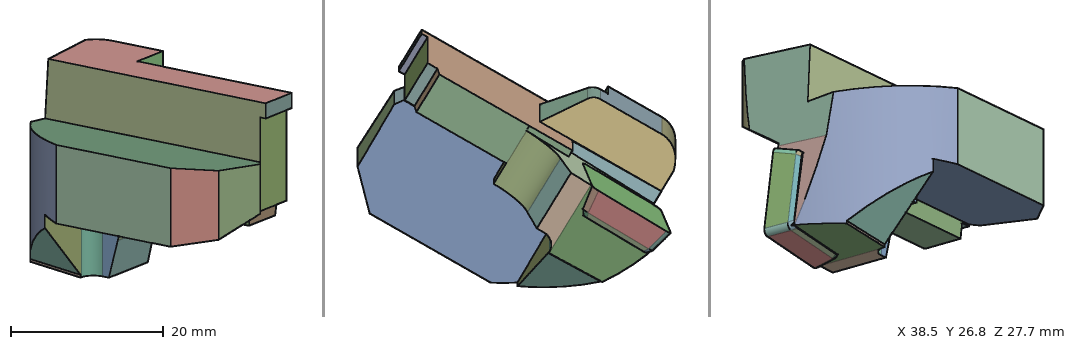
import cadquery as cq
import math

LENGTH = 38.47
HEIGHT = 27.7
DEPTH = 26.8

WALL_FRONT = 15.08
WALL_BACK = 21.0
WALL_BOTTOM = 10.5
END_RELIEF = 0.9
RIM_HEIGHT = 2.08
UNDERCUT_START = 35.78
UNDERCUT_END = 36.1
UNDERCUT_RISE = 2.3

BLOCK_END = 13.58
SHOULDER_HEIGHT = 24.1
SHOULDER_CORNER = 15.7
SHOULDER_END = 20.5
SHOULDER_RADIUS = 2.0
BLOCK_RADIUS = 3.7
BLOCK_BACK_BOTTOM = 19.15
BLOCK_FOOT = 14.4
BLOCK_FOOT_Y = 19.25
BLOCK_SIDE = 1.75

FLANGE_TOP_FRONT = 21.7
FLANGE_TOP_BACK = 19.5
FLANGE_BOTTOM_FRONT = 10.95
FLANGE_BOTTOM_BACK = 13.08
CORNER_CHAMFER = 4.5
RELIEF_WIDTH = 0.85
RELIEF_DEPTH = 1.15
ARC_END_X = 15.55
ARC_MIDDLE = (6.4, 7.1)
ARC_START = (0.58, 17.7)

NOSE_END = 12.5
NOSE_BOTTOM = 0.7
FOOT_END = 15.55
COLUMN_FRONT = 11.85
COLUMN_RADIUS = 2.0
CHIN_TOP = (1.58, 9.55)
CHIN_BOTTOM = (9.75, 1.08)
FLARE_X = 17.0
FLARE_Z = 6.08
FLARE_END = 22.12
FLARE_MIDDLE = (18.77, 9.15)
BOTTOM_TILT = 5.4
RAKE_TOP_Y = 19.25
RAKE_BOTTOM_Y = 20.12
RAKE_TWIST = 2.0
RAKE_OVERRUN = 3.85

SIDE_X = 3.45
SIDE_SLOPE_Y = 0.117
SIDE_SLOPE_Z = 0.062
SIDE_KNEE = 14.05
SIDE_LOWER_SLOPE = 0.11
SIDE_MARGIN = 15.4

INSERT_WIDTH = 12.3
INSERT_HEIGHT = 12.65
INSERT_DEPTH = 4.05
INSERT_WAIST = 3.3
INSERT_RADIUS = 0.85
INSERT_TAPER = 10.0
INSERT_CHAMFER = 0.35
INSERT_TURN = BOTTOM_TILT
INSERT_X = -0.08
INSERT_Z = 1.08


def box(x, y, z):
    """Box given by its (low, high) range on each axis."""
    return cq.Workplane("XY").box(
        x[1] - x[0], y[1] - y[0], z[1] - z[0], centered=False
    ).translate((x[0], y[0], z[0]))


def along_x(points, x_start, x_end):
    """Prism along X from a list of (Y, Z) points."""
    return cq.Workplane("YZ", origin=(x_start, 0, 0)).polyline(points).close().extrude(x_end - x_start)


def make_wall():
    wall_end = LENGTH - END_RELIEF
    wall = (
        cq.Workplane("XZ", origin=(0, WALL_BACK, 0))
        .moveTo(0, HEIGHT)
        .lineTo(LENGTH, HEIGHT)
        .lineTo(LENGTH, HEIGHT - RIM_HEIGHT)
        .lineTo(wall_end, HEIGHT - RIM_HEIGHT)
        .lineTo(wall_end, WALL_BOTTOM + UNDERCUT_RISE)
        .lineTo(UNDERCUT_END, WALL_BOTTOM + UNDERCUT_RISE)
        .lineTo(UNDERCUT_START, WALL_BOTTOM)
        .lineTo(0, WALL_BOTTOM)
        .close()
        .extrude(WALL_BACK - WALL_FRONT)
    )
    return wall


def make_block():
    full = box((BLOCK_SIDE, BLOCK_END), (WALL_FRONT, DEPTH), (BLOCK_FOOT, HEIGHT))
    full = full.edges("|Z and <X and >Y").fillet(BLOCK_RADIUS)
    shoulder = (
        cq.Workplane("XY", origin=(0, 0, BLOCK_FOOT))
        .moveTo(BLOCK_END, WALL_FRONT)
        .lineTo(SHOULDER_END, WALL_FRONT)
        .lineTo(SHOULDER_END, WALL_BACK)
        .lineTo(SHOULDER_CORNER, DEPTH)
        .lineTo(BLOCK_END, DEPTH)
        .close()
        .extrude(SHOULDER_HEIGHT - BLOCK_FOOT)
    )
    corner = cq.selectors.NearestToPointSelector((SHOULDER_CORNER, DEPTH, SHOULDER_HEIGHT / 2 + BLOCK_FOOT / 2))
    shoulder = shoulder.edges("|Z").edges(corner).fillet(SHOULDER_RADIUS)
    underside = [(BLOCK_FOOT_Y, BLOCK_FOOT), (DEPTH, BLOCK_BACK_BOTTOM), (DEPTH, BLOCK_FOOT)]
    return full.union(shoulder).cut(along_x(underside, 0, LENGTH))


def make_flange():
    plan = (
        cq.Workplane("XY")
        .moveTo(*ARC_START)
        .threePointArc(ARC_MIDDLE, (ARC_END_X, 0))
        .lineTo(LENGTH - CORNER_CHAMFER, 0)
        .lineTo(LENGTH, CORNER_CHAMFER)
        .lineTo(LENGTH, WALL_FRONT - RELIEF_DEPTH)
        .lineTo(LENGTH - RELIEF_WIDTH, WALL_FRONT)
        .lineTo(ARC_START[0], WALL_FRONT)
        .close()
        .extrude(HEIGHT)
    )
    section = [
        (0, FLANGE_TOP_FRONT),
        (WALL_FRONT, FLANGE_TOP_BACK),
        (WALL_FRONT, FLANGE_BOTTOM_BACK),
        (0, FLANGE_BOTTOM_FRONT),
    ]
    return plan.intersect(along_x(section, 0, LENGTH))


def make_nose():
    plan = (
        cq.Workplane("XY")
        .moveTo(*ARC_START)
        .threePointArc(ARC_MIDDLE, (ARC_END_X, 0))
        .lineTo(ARC_END_X, WALL_BACK)
        .lineTo(ARC_START[0], WALL_BACK)
        .close()
        .extrude(BLOCK_FOOT)
        .intersect(box((0, NOSE_END), (0, WALL_BACK), (0, BLOCK_FOOT)))
    )
    column = (
        cq.Workplane("XY")
        .moveTo(NOSE_END, COLUMN_FRONT - COLUMN_RADIUS)
        .radiusArc((NOSE_END + COLUMN_RADIUS, COLUMN_FRONT), COLUMN_RADIUS)
        .lineTo(FLARE_END, COLUMN_FRONT)
        .lineTo(FLARE_END, WALL_BACK)
        .lineTo(NOSE_END, WALL_BACK)
        .close()
        .extrude(BLOCK_FOOT)
    )
    outline = (
        cq.Workplane("XZ", origin=(0, WALL_BACK, 0))
        .moveTo(0, BLOCK_FOOT)
        .lineTo(0, NOSE_BOTTOM + NOSE_END * math.tan(math.radians(BOTTOM_TILT)))
        .lineTo(NOSE_END, NOSE_BOTTOM)
        .lineTo(FOOT_END, NOSE_BOTTOM)
        .lineTo(FLARE_X, FLARE_Z)
        .threePointArc(FLARE_MIDDLE, (FLARE_END, WALL_BOTTOM))
        .lineTo(FLARE_END, BLOCK_FOOT)
        .close()
        .extrude(WALL_BACK)
    )
    chin = [(0, -NOSE_END), (0, CHIN_TOP[1]), CHIN_TOP, CHIN_BOTTOM, (CHIN_BOTTOM[0], -NOSE_END)]
    chin_waste = along_x(chin, -NOSE_END, LENGTH).rotate(
        (NOSE_END, 0, CHIN_BOTTOM[1]), (NOSE_END, 1, CHIN_BOTTOM[1]), BOTTOM_TILT
    )
    nose = plan.cut(chin_waste).union(column).intersect(outline)
    return cut_rake(nose, FLARE_END)


def cut_rake(body, x_end):
    """Trim the back, up to x_end, to the leaning rake plane."""
    gullet = [
        (RAKE_TOP_Y, BLOCK_FOOT),
        (RAKE_BOTTOM_Y, 0),
        (DEPTH, 0),
        (DEPTH, BLOCK_BACK_BOTTOM),
    ]
    waste = along_x(gullet, -RAKE_OVERRUN, x_end)
    return body.cut(waste.rotate((0, RAKE_BOTTOM_Y, 0), (0, RAKE_BOTTOM_Y, 1), RAKE_TWIST))


def cut_side(body):
    """Trim the left side to a plane leaning in both Y and Z."""

    def section(z):
        lean_in = SIDE_SLOPE_Z * (HEIGHT - max(z, SIDE_KNEE)) + SIDE_LOWER_SLOPE * max(SIDE_KNEE - z, 0)

        def side_x(y):
            return SIDE_X - SIDE_SLOPE_Y * (y - WALL_FRONT) - lean_in

        points = [(-SIDE_MARGIN, 0), (side_x(0), 0), (side_x(DEPTH), DEPTH), (-SIDE_MARGIN, DEPTH)]
        return cq.Wire.makePolygon([cq.Vector(x, y, z) for x, y in points], close=True)

    waste = cq.Solid.makeLoft([section(0), section(SIDE_KNEE), section(HEIGHT)], True)
    return body.cut(cq.Workplane(waste))


def make_insert():
    """Tapered insert, lying on the rake plane with its lower edge turned down."""
    waist_inset = INSERT_WAIST * math.tan(math.radians(INSERT_TAPER))

    def section(depth, inset):
        """Outline of a rounded square, inset from the rake outline at a depth behind the rake."""
        size = (INSERT_WIDTH - 2 * inset, INSERT_HEIGHT - 2 * inset)
        plate = (
            cq.Workplane("XZ", origin=(0, -depth, 0))
            .rect(*size)
            .extrude(depth + INSERT_DEPTH)
            .edges("|Y")
            .fillet(INSERT_RADIUS)
        )
        return plate.faces(">Y").val().outerWire()

    rake_wire = section(0, 0)
    waist_wire = section(INSERT_WAIST, waist_inset)
    back_wire = section(INSERT_DEPTH, waist_inset + INSERT_CHAMFER)
    relief = cq.Workplane(cq.Solid.makeLoft([rake_wire, waist_wire], True))
    back = cq.Workplane(cq.Solid.makeLoft([waist_wire, back_wire], True))
    blank = relief.union(back).translate((INSERT_WIDTH / 2, 0, INSERT_HEIGHT / 2))
    lean = math.degrees(math.atan2(RAKE_BOTTOM_Y - RAKE_TOP_Y, BLOCK_FOOT))
    return (
        blank.rotate((0, 0, 0), (0, 1, 0), INSERT_TURN)
        .rotate((0, 0, 0), (1, 0, 0), lean)
        .rotate((0, 0, 0), (0, 0, 1), RAKE_TWIST)
        .translate((INSERT_X, RAKE_BOTTOM_Y - INSERT_Z * math.tan(math.radians(lean)), INSERT_Z))
    )


insert = make_insert()
holder = make_wall().union(make_block()).union(make_flange()).union(make_nose())
holder = cut_side(cut_rake(holder, FOOT_END)).cut(insert)

result = cq.Compound.makeCompound([holder.val(), insert.val()])